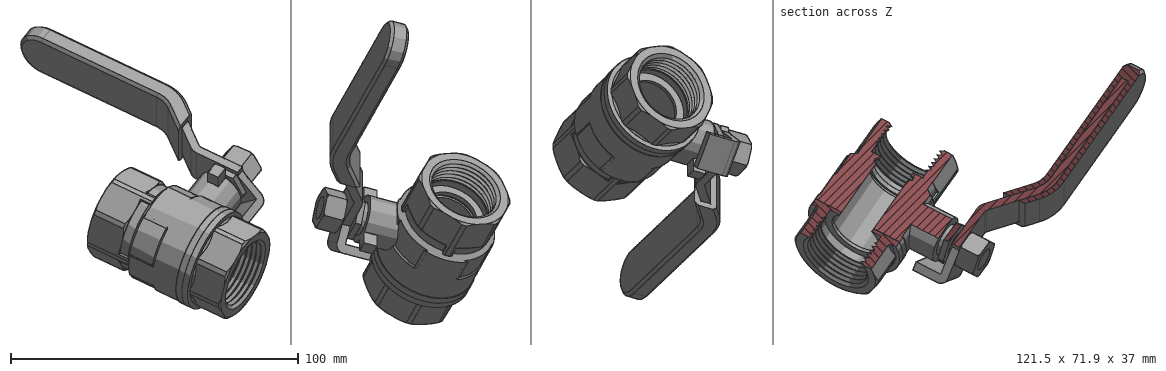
import cadquery as cq
import math


overall_depth = 71.9

body_end_x = -27.2
collar_x = -14.0
cone_start_x = -10.7
barrel_x = -9.0
ring_x = 10.5
joint_x = 13.0
ring_end_x = 15.3
cap_end_x = 27.6
octagon_apothem = 16.0
octagon_corner_radius = 17.0
corner_chamfer_length = 0.6
corner_chamfer_depth = 0.9
barrel_radius = 18.2
ring_radius = 37.0 / 2
cap_shoulder_radius = 16.8
cap_shoulder_length = 0.7

rib_end_x = -10.0
rib_width = 3.6
waist_radius = 15.9

panel_depth = 0.5
panel_end_x = 0.7
panel_end_slope = 0.7
panel_inner_z = 5.1
panel_outer_z = 16.3

bore_radius = 9.6
thread_crest_radius = 12.0
thread_root_radius = 13.2
thread_pitch = 1.8
thread_turns = 5
thread_start = 1.0
relief_radius = 12.5
socket_depth = 13.4

groove_start_x = -12.2
groove_width = 1.2
groove_radius = 10.5

tower_radius = 8.5
tower_top_y = 28.0
lug_width = 4.3
lug_bottom_y = 23.1
lug_tip_z = 13.4

collar_radius = 6.0
collar_depth = 3.6
hex_bottom_y = 29.8
hex_top_y = 32.0
hex_apothem = 14.2 / 2
shoulder_radius = 4.6
thread_radius = 4.0

plate_bottom_y = 33.0
plate_thickness = 3.0
plate_half_width = 14.2 / 2
plate_end_x = 4.0
plate_bend_radius = 3.0
handle_slope = 39.0
handle_start_x = -84.8

arm_half_width = 6.5
arm_angle = 45.0
tab_inner_distance = 10.1
tab_thickness = 3.3
tab_bottom_y = 23.1

grip_top_y = overall_depth - ring_radius
grip_thickness = 6.8
grip_half_width = 9.1
grip_bend_x = -37.7
grip_inner_bend_radius = 9.7
grip_end_x = -23.1
grip_edge = 1.1

nut_height = 7.5
nut_apothem = 13.0 / 2
nut_turn = -2.7
nut_chamfer = 0.5

octagon_flat_ratio = math.cos(math.pi / 8)
hexagon_flat_ratio = math.cos(math.pi / 6)
slope = math.radians(handle_slope)
plate_top_y = plate_bottom_y + plate_thickness
nut_top_y = plate_top_y + nut_height


def tube_x(x0, x1, radius):
    """Cylinder on the pipe axis."""
    return cq.Workplane("YZ").workplane(offset=x0).circle(radius).extrude(x1 - x0)


def rod_y(y0, y1, radius):
    """Cylinder on the stem axis."""
    return cq.Workplane("XZ").workplane(offset=-y1).circle(radius).extrude(y1 - y0)


def hex_y(y0, y1, apothem, turn=0):
    """Hexagonal prism on the stem axis, with corners toward -X and +X."""
    hexagon = cq.Workplane("XZ").workplane(offset=-y1).polygon(6, 2 * apothem / hexagon_flat_ratio)
    return hexagon.extrude(y1 - y0).rotate((0, 0, 0), (0, 1, 0), turn)


def turned(points):
    """Solid turned about the pipe axis from (x, radius) points."""
    return cq.Workplane("XZ").polyline(points).close().revolve(360, (0, 0, 0), (1, 0, 0))


def octagon_x(x0, x1):
    """Octagonal prism with its corners turned round, and chamfered at the pipe end `x0`."""
    octagon = cq.Workplane("YZ").workplane(offset=x0).polygon(8, 2 * octagon_apothem / octagon_flat_ratio)
    prism = octagon.extrude(x1 - x0)
    chamfer_x = x0 + math.copysign(corner_chamfer_length, x1 - x0)
    end_radius = octagon_corner_radius - corner_chamfer_depth
    envelope = turned([
        (x0, 0),
        (x0, end_radius),
        (chamfer_x, octagon_corner_radius),
        (x1, octagon_corner_radius),
        (x1, 0),
    ])
    return prism.intersect(envelope)


def pipe_socket(end_x, inward):
    """Cutter for a threaded pipe socket; `inward` is +1 or -1 along X."""
    outline = [(0, 0), (0, thread_root_radius), (thread_start, thread_crest_radius)]
    for turn in range(thread_turns):
        groove = thread_start + turn * thread_pitch
        outline.append((groove + thread_pitch / 2, thread_root_radius))
        outline.append((groove + thread_pitch, thread_crest_radius))
    thread_end = thread_start + thread_turns * thread_pitch
    outline += [(thread_end, relief_radius), (socket_depth, relief_radius), (socket_depth, 0)]
    return turned([(end_x + inward * depth, radius) for depth, radius in outline])


def waist_cutter():
    """Ring turned off the octagon's inner end, except for the ribs toward +-Y and +-Z."""
    clearance = 1.2
    outer_radius = octagon_corner_radius + clearance
    ring = turned([
        (collar_x - corner_chamfer_length, outer_radius),
        (collar_x - corner_chamfer_length, octagon_corner_radius),
        (collar_x, octagon_corner_radius - corner_chamfer_depth),
        (collar_x, waist_radius),
        (rib_end_x + clearance, waist_radius),
        (rib_end_x + clearance, outer_radius),
    ])
    half_length = rib_end_x - collar_x + 2 * clearance
    bar = cq.Workplane("XY").box(2 * half_length, 2 * ring_radius, rib_width).translate((collar_x, 0, 0))
    return ring.cut(bar).cut(bar.rotate((0, 0, 0), (1, 0, 0), 90))


def barrel_panels():
    """Cutter for the four panels, which are open toward the waist."""
    floor_radius = barrel_radius - panel_depth
    band = turned([
        (cone_start_x, floor_radius),
        (panel_end_x - panel_end_slope, floor_radius),
        (panel_end_x, barrel_radius),
        (cone_start_x, barrel_radius),
    ])
    stripe_length = 2 * (panel_end_x - cone_start_x)
    stripe_middle_z = (panel_inner_z + panel_outer_z) / 2
    stripe = cq.Workplane("XY").box(stripe_length, 2 * ring_radius, panel_outer_z - panel_inner_z)
    upper = stripe.translate((panel_end_x - stripe_length / 2, 0, stripe_middle_z)).intersect(band)
    return upper.union(upper.mirror("XY"))


def make_body():
    """Valve body: threaded octagon, ribbed waist, barrel with panels, stem tower and lugs."""
    body = octagon_x(body_end_x, rib_end_x).cut(waist_cutter())
    barrel = turned([
        (cone_start_x, 0),
        (cone_start_x, waist_radius),
        (barrel_x, barrel_radius),
        (ring_x, barrel_radius),
        (ring_x, ring_radius),
        (joint_x, ring_radius),
        (joint_x, 0),
    ])
    body = body.union(barrel.cut(barrel_panels()))
    lugs = cq.Workplane("XY").box(lug_width, tower_top_y - lug_bottom_y, 2 * lug_tip_z)
    lugs = lugs.translate((0, (tower_top_y + lug_bottom_y) / 2, 0))
    body = body.union(rod_y(0, tower_top_y, tower_radius)).union(lugs)
    body = body.cut(rod_y(tower_top_y - collar_depth, tower_top_y, collar_radius))
    body = body.cut(tube_x(body_end_x, joint_x, bore_radius))
    body = body.cut(tube_x(groove_start_x, groove_start_x + groove_width, groove_radius))
    return body.cut(pipe_socket(body_end_x, 1))


def make_cap():
    """End cap: half of the ring and the second threaded octagon."""
    shoulder = cq.Workplane("YZ").workplane(offset=ring_end_x).circle(cap_shoulder_radius)
    shoulder = shoulder.workplane(offset=cap_shoulder_length).circle(octagon_apothem).loft()
    cap = tube_x(joint_x, ring_end_x, ring_radius).union(octagon_x(cap_end_x, joint_x)).union(shoulder)
    cap = cap.cut(tube_x(joint_x, cap_end_x, bore_radius))
    return cap.cut(pipe_socket(cap_end_x, -1))


def make_stem():
    """Stem: round collar, hexagon, shoulder and the thread that carries handle and nut."""
    stem = rod_y(tower_top_y - collar_depth, hex_bottom_y, collar_radius)
    stem = stem.union(hex_y(hex_bottom_y, hex_top_y, hex_apothem))
    stem = stem.union(rod_y(hex_top_y, plate_bottom_y, shoulder_radius))
    return stem.union(rod_y(plate_bottom_y, nut_top_y, thread_radius))


def make_nut():
    """Hexagon nut, flush with the end of the stem."""
    nut = hex_y(plate_top_y, nut_top_y, nut_apothem, nut_turn)
    envelope = rod_y(plate_top_y, nut_top_y, nut_apothem / hexagon_flat_ratio).edges().chamfer(nut_chamfer)
    return nut.intersect(envelope).cut(rod_y(plate_top_y, nut_top_y, thread_radius))


grip_middle_y = grip_top_y - grip_thickness / 2
grip_bend_radius = grip_inner_bend_radius + grip_thickness / 2
bend_centre_y = grip_middle_y - grip_bend_radius
slope_start_x = grip_bend_x + grip_bend_radius * math.sin(slope)
slope_start_y = bend_centre_y + grip_bend_radius * math.cos(slope)
plate_middle_y = plate_bottom_y + plate_thickness / 2
plate_corner_x = slope_start_x + (slope_start_y - plate_middle_y) / math.tan(slope)


def bent_strip(start_x, thickness, half_width, tail):
    """Strip along the handle's centre line from `start_x`.

    `tail` lists the far end's outline points, from the upper side round to the lower side.
    """
    half = thickness / 2

    def side(offset):
        radius = grip_bend_radius + offset
        return [
            (grip_bend_x, grip_middle_y + offset),
            (grip_bend_x + radius * math.sin(slope / 2), bend_centre_y + radius * math.cos(slope / 2)),
            (grip_bend_x + radius * math.sin(slope), bend_centre_y + radius * math.cos(slope)),
        ]

    upper = side(half)
    lower = side(-half)
    strip = cq.Workplane("XY").moveTo(start_x, grip_middle_y + half).lineTo(*upper[0])
    strip = strip.threePointArc(upper[1], upper[2])
    for point in tail:
        strip = strip.lineTo(*point)
    strip = strip.lineTo(*lower[2]).threePointArc(lower[1], lower[0])
    strip = strip.lineTo(start_x, grip_middle_y - half).close()
    return strip.extrude(half_width, both=True)


def slope_y(x, offset):
    """Height of the sloping stretch at `x`, `offset` away from its centre line."""
    return slope_start_y - (x - slope_start_x) * math.tan(slope) + offset / math.cos(slope)


def handle_strip():
    """Bent strip of the handle, ending just past the stem axis."""
    half = plate_thickness / 2
    shift = half * math.tan(slope / 2)
    strip = bent_strip(handle_start_x, plate_thickness, plate_half_width, [
        (plate_corner_x + shift, plate_top_y),
        (plate_end_x, plate_top_y),
        (plate_end_x, plate_bottom_y),
        (plate_corner_x - shift, plate_bottom_y),
    ])
    inner_bend = strip.edges(cq.selectors.NearestToPointSelector((plate_corner_x + shift, plate_top_y, 0)))
    strip = inner_bend.fillet(plate_bend_radius - half)
    outer_bend = strip.edges(cq.selectors.NearestToPointSelector((plate_corner_x - shift, plate_bottom_y, 0)))
    return outer_bend.fillet(plate_bend_radius + half)


def stop_arm():
    """Arm and bent-down tab, drawn along +X and then turned toward -Z."""
    arm_root = -arm_half_width / 2
    tab_outer = tab_inner_distance + tab_thickness
    arm = (
        cq.Workplane("XY")
        .moveTo(arm_root, plate_bottom_y)
        .lineTo(tab_inner_distance, plate_bottom_y)
        .lineTo(tab_inner_distance, tab_bottom_y)
        .lineTo(tab_outer, tab_bottom_y)
        .lineTo(tab_outer, plate_bottom_y)
        .radiusArc((tab_outer - plate_thickness, plate_top_y), -plate_thickness)
        .lineTo(arm_root, plate_top_y)
        .close()
        .extrude(arm_half_width, both=True)
    )
    return arm.rotate((0, 0, 0), (0, 1, 0), arm_angle)


def make_handle():
    """Handle plate with its stop tab and the hole for the stem."""
    handle = handle_strip().union(stop_arm())
    return handle.cut(rod_y(plate_bottom_y, plate_top_y, thread_radius))


def make_grip(handle):
    """Grip sleeve with a round end and chamfered edges, fitted over the handle."""
    half = grip_thickness / 2
    grip = bent_strip(handle_start_x, grip_thickness, grip_half_width, [
        (grip_end_x, slope_y(grip_end_x, half)),
        (grip_end_x, slope_y(grip_end_x, -half)),
    ])
    round_end = rod_y(grip_top_y - grip_thickness, grip_top_y, grip_half_width)
    grip = grip.union(round_end.translate((handle_start_x, 0, 0)))
    grip = grip.edges("not (|Y or |Z)").chamfer(grip_edge)
    return grip.cut(handle)


body = make_body()
cap = make_cap()
stem = make_stem()
nut = make_nut()
handle = make_handle()
grip = make_grip(handle)

result = cq.Compound.makeCompound([body.val(), cap.val(), stem.val(), nut.val(), handle.val(), grip.val()])